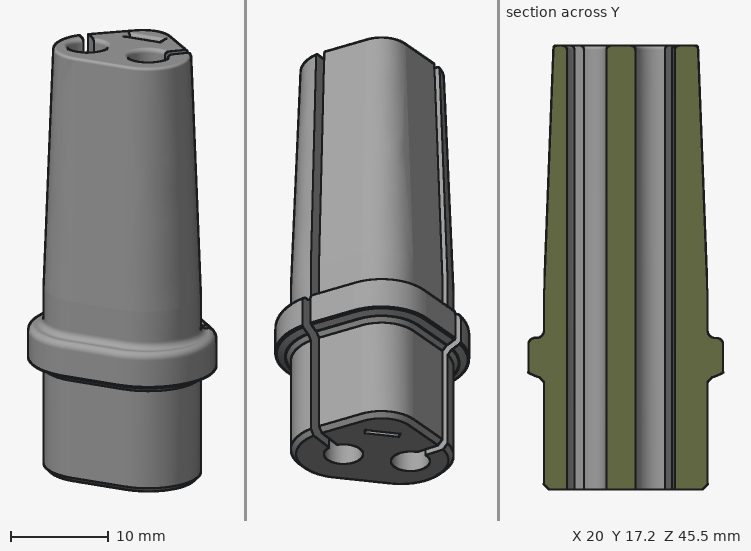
import cadquery as cq
import math

total_height = 45.5
flange_bottom = 11.5
flange_top = 15.55
taper_start = 19.55

corner_x = 3.0
corner_radius = 7.0
rear_radius = 5.65
rear_y = 4.55

body_inset = 1.6
top_inset = 2.6

flange_upper_fillet = 0.75
flange_lower_chamfer = 0.5
flange_root_chamfer = 0.5
top_fillet = 0.3
bottom_chamfer = 0.55

hole_spacing = 7.0
hole_shift = -0.5
left_hole_x = hole_shift - hole_spacing / 2
right_hole_x = hole_shift + hole_spacing / 2
hole_radius = 2.0
hole_fillet = 0.45
slit_x = 3.0
slit_width = 1.0
slit_angle = 45.0
slit_length = 13.65

window_width = 3.65
window_depth = 0.65
window_y = 4.95
window_fillet = 0.45

tolerance = 0.005


def outline(inset, z):
    """Rounded triangle at height z, set in from the flange outline."""
    lower = corner_radius - inset
    rear = rear_radius - inset
    normal = math.atan2(rear_y, -corner_x) - math.acos((lower - rear) / math.hypot(corner_x, rear_y))

    def on_lower(angle):
        return corner_x + lower * math.cos(angle), lower * math.sin(angle)

    side_start = on_lower(normal)
    corner_middle = on_lower((normal - math.pi / 2) / 2)
    side_end = (rear * math.cos(normal), rear_y + rear * math.sin(normal))

    def mirrored(point):
        return -point[0], point[1]

    return (
        cq.Workplane("XY", origin=(0, 0, z))
        .moveTo(-corner_x, -lower)
        .lineTo(corner_x, -lower)
        .threePointArc(corner_middle, side_start)
        .lineTo(*side_end)
        .threePointArc((0, rear_y + rear), mirrored(side_end))
        .lineTo(*mirrored(side_start))
        .threePointArc(mirrored(corner_middle), (-corner_x, -lower))
        .close()
    )


def edges_in_box(solid, center, half_x, half_y):
    """Edges lying within a thin horizontal box around a center point."""
    x, y, z = center
    selector = cq.selectors.BoxSelector(
        (x - half_x - tolerance, y - half_y - tolerance, z - tolerance),
        (x + half_x + tolerance, y + half_y + tolerance, z + tolerance),
        boundingbox=True,
    )
    return solid.edges(selector)


def body_edges(solid, z):
    """Edges of the straight body outline at height z."""
    half_x = corner_x + corner_radius - body_inset
    half_y = rear_y + rear_radius - body_inset
    return edges_in_box(solid, (0, 0, z), half_x, half_y)


def make_body():
    straight = outline(body_inset, 0).extrude(taper_start).faces("<Z").chamfer(bottom_chamfer)
    lower_wire = outline(body_inset, taper_start).wire().val()
    upper_wire = outline(top_inset, total_height).wire().val()
    taper = cq.Workplane(cq.Solid.makeLoft([lower_wire, upper_wire], True))
    taper = taper.faces(">Z").edges().fillet(top_fillet)
    flange = outline(0, flange_bottom).extrude(flange_top - flange_bottom)
    flange = flange.faces(">Z").edges().fillet(flange_upper_fillet)
    flange = flange.faces("<Z").edges().chamfer(flange_lower_chamfer)
    body = straight.union(flange).union(taper)
    body = body_edges(body, flange_top).fillet(flange_upper_fillet)
    return body_edges(body, flange_bottom).chamfer(flange_root_chamfer)


def cut_holes(body):
    """Through holes with rounded upper rims."""
    for x in (left_hole_x, right_hole_x):
        hole = cq.Workplane(origin=(x, 0, 0)).circle(hole_radius).extrude(total_height)
        body = body.cut(hole)
        rim = edges_in_box(body, (x, 0, total_height), hole_radius, hole_radius)
        body = rim.fillet(hole_fillet)
    return body


def cut_window(body):
    """Rectangular passage with a rounded upper rim."""
    passage = cq.Workplane(origin=(0, window_y, 0)).rect(window_width, window_depth).extrude(total_height)
    body = body.cut(passage)
    rim = edges_in_box(body, (0, window_y, total_height), window_width / 2, window_depth / 2)
    return rim.fillet(window_fillet)


def cut_slits(body):
    """Full-height slits running outward and rearward from the holes."""
    for x, angle in ((slit_x, slit_angle), (-slit_x, 180 - slit_angle)):
        slit = (
            cq.Workplane()
            .rect(slit_length, slit_width)
            .extrude(total_height)
            .translate((slit_length / 2, 0, 0))
            .rotate((0, 0, 0), (0, 0, 1), angle)
            .translate((x, 0, 0))
        )
        body = body.cut(slit)
    return body


result = cut_slits(cut_window(cut_holes(make_body())))